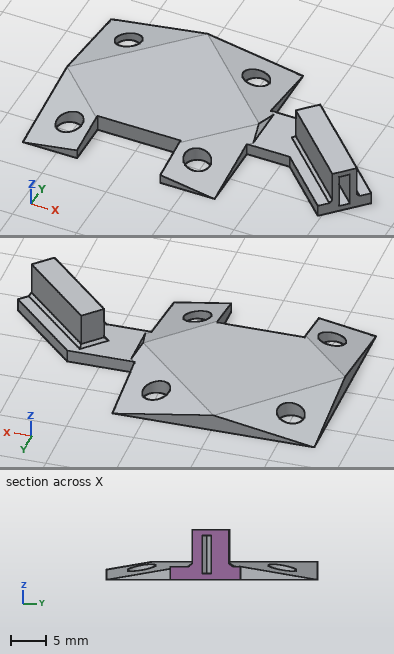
import cadquery as cq
import math

plate_side = 30.0
half_side = plate_side / 2
plate_height = 2.6
hole_diameter = 4.0
hole_spacing = 20.0
notch_width = 13.0
notch_depth = 6.95

arm_width = 8.15
arm_height = 1.85

overall_length = 50.6
base_length = 15.5
base_width = 8.1
base_angle = -45.0
base_corner_y = -6.55
wall_thickness = 3.7
wall_top = 7.15
foot_chamfer = 0.45

slot_width = 1.6
slot_bottom = 0.9
slot_height = 5.35
slot_end_margin = 2.0
slot_depth = base_length - foot_chamfer - slot_end_margin

angle = math.radians(base_angle)
base_corner_x = overall_length - half_side
outer_end_x = base_corner_x + base_width / 2 * math.sin(angle)
outer_end_y = base_corner_y - base_width / 2 * math.cos(angle)
inner_end_x = outer_end_x - base_length * math.cos(angle)
inner_end_y = outer_end_y - base_length * math.sin(angle)


def diamond(half_diagonal):
    """Corner points of a square standing on its corner."""
    return [(half_diagonal, 0), (0, half_diagonal), (-half_diagonal, 0), (0, -half_diagonal)]


def place_clamp(body):
    """Move a body from the clamp frame, with its origin at the inner end, into the part."""
    return body.rotate((0, 0, 0), (0, 0, 1), base_angle).translate((inner_end_x, inner_end_y, 0))


def block(length, width, height):
    """Box resting on Z = 0 that starts at X = 0 and is centred in Y."""
    return cq.Workplane("XY").box(length, width, height, centered=(False, True, False))


def make_plate():
    plate = cq.Workplane("XY").box(plate_side, plate_side, plate_height, centered=(True, True, False))

    bevel_length = plate_height - arm_height
    bevel = (
        cq.Workplane("XZ")
        .moveTo(0, 0)
        .lineTo(half_side + bevel_length, 0)
        .lineTo(half_side + bevel_length, arm_height)
        .lineTo(half_side, plate_height)
        .lineTo(0, plate_height)
        .close()
        .extrude(arm_width / 2, both=True)
    )

    slopes = (
        cq.Workplane("XY")
        .polyline(diamond(plate_side))
        .close()
        .workplane(offset=plate_height)
        .polyline(diamond(half_side))
        .close()
        .loft(ruled=True)
    )

    notch = (
        cq.Workplane("XY")
        .center(0, -half_side)
        .rect(notch_width, 2 * notch_depth)
        .extrude(plate_height)
    )
    holes = (
        cq.Workplane("XY")
        .rect(hole_spacing, hole_spacing, forConstruction=True)
        .vertices()
        .circle(hole_diameter / 2)
        .extrude(plate_height)
    )
    return plate.union(bevel).intersect(slopes).cut(notch).cut(holes)


def make_arm():
    arm_end = base_corner_x + (arm_width / 2 - base_corner_y) / math.tan(angle)
    return block(arm_end - half_side, arm_width, arm_height).translate((half_side, 0, 0))


def make_base():
    base = place_clamp(block(base_length, base_width, arm_height))
    trim = (
        cq.Workplane("XY")
        .box(plate_side, base_width, arm_height, centered=(True, False, False))
        .translate((inner_end_x, arm_width / 2, 0))
    )
    return base.cut(trim)


def make_wall():
    wall_length = base_length - foot_chamfer
    wall = block(wall_length, wall_thickness, wall_top).translate((foot_chamfer, 0, 0))

    foot_length = base_length + foot_chamfer
    foot_width = wall_thickness + 2 * foot_chamfer
    foot = (
        cq.Workplane("XY", origin=(foot_length / 2, 0, arm_height))
        .rect(foot_length, foot_width)
        .workplane(offset=foot_chamfer)
        .rect(foot_length - 2 * foot_chamfer, wall_thickness)
        .loft(ruled=True)
    )
    foot = foot.intersect(block(base_length, base_width, wall_top))
    return place_clamp(wall.union(foot))


def make_slot():
    slot = block(slot_depth, slot_width, slot_height)
    return place_clamp(slot.translate((base_length - slot_depth, 0, slot_bottom)))


result = make_plate().union(make_arm()).union(make_base()).union(make_wall()).cut(make_slot())